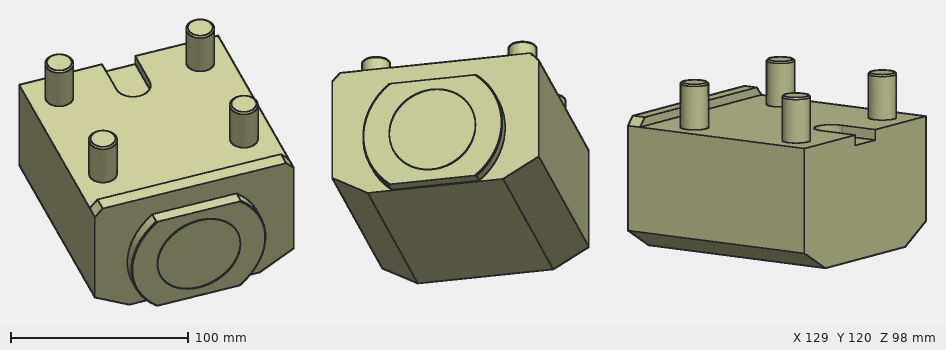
import cadquery as cq

OVERALL_LENGTH = 129.0
OVERALL_HEIGHT = 98.0
BLOCK_WIDTH = 120.0
BLOCK_HEIGHT = 72.0
BEVEL_HEIGHT = 11.75
BEVEL_RUN = 20.7

LIP_THICKNESS = 8.3
LIP_HEIGHT = 5.0
LIP_BEVEL_RUN = 4.7

FLANGE_DIAMETER = 81.0
FLANGE_FLATS = 63.0
FLANGE_THICKNESS = 7.0
FLANGE_CHAMFER = 0.5
FLANGE_CENTER_Z = 32.0
DISC_DIAMETER = 50.0
DISC_THICKNESS = 0.5
BLOCK_LENGTH = OVERALL_LENGTH - FLANGE_THICKNESS - DISC_THICKNESS

PIN_DIAMETER = 16.0
PIN_CHAMFER = 1.0
PIN_HEIGHT = OVERALL_HEIGHT - BLOCK_HEIGHT
PIN_FIRST_X = 17.9
PIN_SPACING_X = 70.0
PIN_SPACING_Y = 85.0

SLOT_WIDTH = 20.0
SLOT_LENGTH = 33.0
SLOT_DEPTH = 6.0


def make_block():
    """Extrude the block's end profile, with both lower edges bevelled, along X."""
    half_width = BLOCK_WIDTH / 2
    half_base = half_width - BEVEL_RUN
    return (
        cq.Workplane("YZ")
        .moveTo(-half_base, 0)
        .lineTo(half_base, 0)
        .lineTo(half_width, BEVEL_HEIGHT)
        .lineTo(half_width, BLOCK_HEIGHT)
        .lineTo(-half_width, BLOCK_HEIGHT)
        .lineTo(-half_width, BEVEL_HEIGHT)
        .close()
        .extrude(BLOCK_LENGTH)
    )


def make_lip():
    """Full-width lip whose two ends slope inward toward its top."""
    half_width = BLOCK_WIDTH / 2
    half_top = half_width - LIP_BEVEL_RUN
    lip_top = BLOCK_HEIGHT + LIP_HEIGHT
    return (
        cq.Workplane("YZ", origin=(BLOCK_LENGTH - LIP_THICKNESS, 0, 0))
        .moveTo(-half_width, BLOCK_HEIGHT)
        .lineTo(half_width, BLOCK_HEIGHT)
        .lineTo(half_top, lip_top)
        .lineTo(-half_top, lip_top)
        .close()
        .extrude(LIP_THICKNESS)
    )


def make_flange():
    """Chamfered round flange trimmed to two flats, plus the disc on its face."""
    base = cq.Workplane("YZ", origin=(BLOCK_LENGTH, 0, FLANGE_CENTER_Z))
    round_flange = base.circle(FLANGE_DIAMETER / 2).extrude(FLANGE_THICKNESS)
    round_flange = round_flange.faces(">X").chamfer(FLANGE_CHAMFER)
    flats = base.rect(FLANGE_DIAMETER, FLANGE_FLATS).extrude(FLANGE_THICKNESS)
    disc = base.circle(DISC_DIAMETER / 2).extrude(FLANGE_THICKNESS + DISC_THICKNESS)
    return round_flange.intersect(flats).union(disc)


def make_pin(x, y):
    """Upright pin with a chamfered tip."""
    return (
        cq.Workplane("XY", origin=(x, y, BLOCK_HEIGHT))
        .circle(PIN_DIAMETER / 2)
        .extrude(PIN_HEIGHT)
        .faces(">Z")
        .chamfer(PIN_CHAMFER)
    )


def make_slot():
    """Cutting body for the slot in the top face."""
    end_radius = SLOT_WIDTH / 2
    straight_length = SLOT_LENGTH - end_radius
    return (
        cq.Workplane("XY", origin=(0, 0, BLOCK_HEIGHT - SLOT_DEPTH))
        .moveTo(0, -end_radius)
        .lineTo(straight_length, -end_radius)
        .threePointArc((SLOT_LENGTH, 0), (straight_length, end_radius))
        .lineTo(0, end_radius)
        .close()
        .extrude(SLOT_DEPTH)
    )


result = make_block().cut(make_slot()).union(make_lip()).union(make_flange())
for pin_x in (PIN_FIRST_X, PIN_FIRST_X + PIN_SPACING_X):
    for pin_y in (-PIN_SPACING_Y / 2, PIN_SPACING_Y / 2):
        result = result.union(make_pin(pin_x, pin_y))